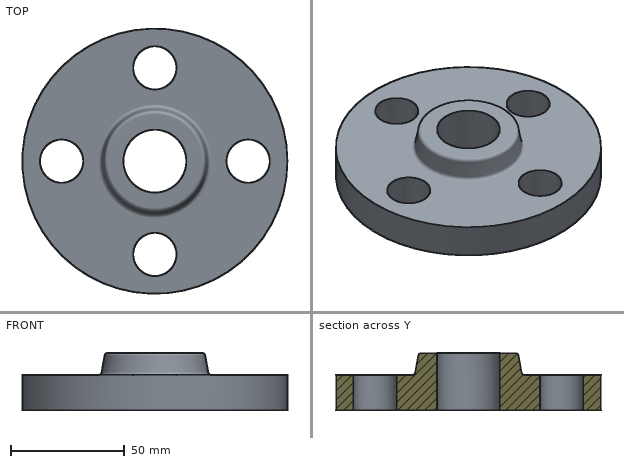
import cadquery as cq

import math

flange_diameter = 117.3
flange_thickness = 15.7

total_height = 25.5
hub_height = total_height - flange_thickness
hub_base_diameter = 47.6
hub_taper_angle = 10.0
hub_top_diameter = hub_base_diameter - 2 * hub_height * math.tan(math.radians(hub_taper_angle))
hub_fillet_radius = 1.5

bore_diameter = 27.7
bolt_hole_diameter = 19.0
bolt_circle_diameter = 82.5
bolt_hole_count = 4


def flange_body():
    """Plate and tapered hub, turned as one profile about the Z axis."""
    profile = [
        (0, 0),
        (flange_diameter / 2, 0),
        (flange_diameter / 2, flange_thickness),
        (hub_base_diameter / 2, flange_thickness),
        (hub_top_diameter / 2, total_height),
        (0, total_height),
    ]
    return cq.Workplane("XZ").polyline(profile).close().revolve(360, (0, 0), (0, 1))


def round_hub(body):
    """Round the hub's top rim and its root with the same radius."""
    hub_rim = cq.selectors.RadiusNthSelector(0)
    hub_root = cq.selectors.RadiusNthSelector(1)
    return body.edges("%CIRCLE").edges(hub_rim + hub_root).fillet(hub_fillet_radius)


def cut_bore(body):
    bore = cq.Workplane("XY").circle(bore_diameter / 2).extrude(total_height)
    return body.cut(bore)


def cut_bolt_holes(body):
    bolt_holes = (
        cq.Workplane("XY")
        .polarArray(bolt_circle_diameter / 2, 0, 360, bolt_hole_count)
        .circle(bolt_hole_diameter / 2)
        .extrude(flange_thickness)
    )
    return body.cut(bolt_holes)


result = cut_bolt_holes(cut_bore(round_hub(flange_body())))